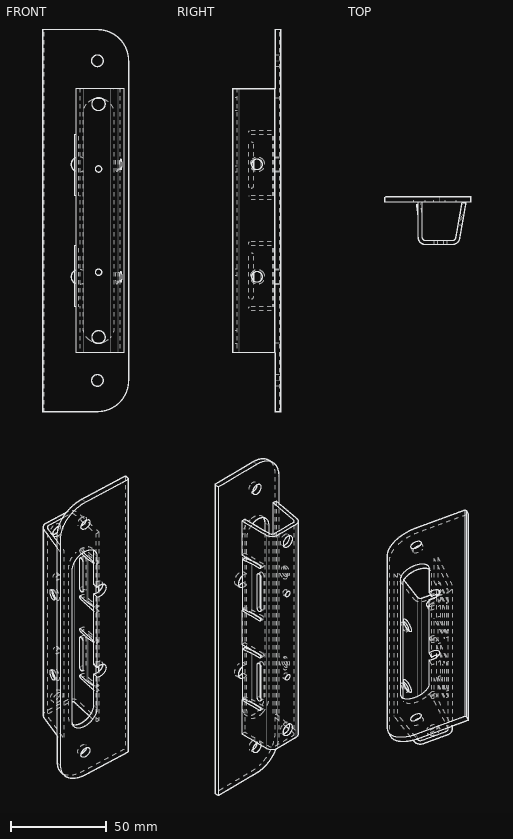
import cadquery as cq
import math

HOLE_LINE_X = 29.2

PLATE_WIDTH = 45.0
PLATE_HEIGHT = 200.0
PLATE_THICKNESS = 3.0
PLATE_CORNER_RADIUS = 16.5
BACK_CHAMFER = 0.5
SCREW_HOLE_DIAMETER = 6.0
WINDOW_WIDTH = 16.5
WINDOW_HEIGHT = 128.0
SIDE_HOLE_DIAMETER = 8.0
SIDE_HOLE_X = 19.0

CHANNEL_LENGTH = 138.0
CHANNEL_DEPTH = 22.2
SHEET = 2.2
OUTER_BEND_RADIUS = 4.0
CHANNEL_LEFT = 17.5
CHANNEL_RIGHT = 42.5
SLANT = math.radians(10)
SLANTED_INNER_X = CHANNEL_RIGHT - SHEET / math.cos(SLANT)

LARGE_HOLE_DIAMETER = 6.8
LARGE_HOLE_Z = 61.0
SMALL_HOLE_DIAMETER = 3.2
SMALL_HOLE_Z = 27.0

SIDE_HOLE_Z = 29.5
WALL_HOLE_DIAMETER = 5.5
WALL_HOLE_DEPTH = 9.2
COUNTERSINK_DIAMETER = 7.5

TONGUE_Z = 29.0
TONGUE_LENGTH = 6.5
TONGUE_GAP = 1.2
TONGUE_ANGLE = math.radians(8)
TONGUE_BEND_RADIUS = 3.0
RELIEF_WIDTH = 2.0
RELIEF_SPACING = 34.0
RELIEF_DEPTH = 14.0
WALL_SLOT_WIDTH = 2.8
WALL_SLOT_LENGTH = 24.2
WALL_SLOT_DEPTH = 12.5

TONGUE_ROOT_Y = -(TONGUE_LENGTH + TONGUE_GAP)
MIRRORED_SIDES = (-1, 1)


def cylinder(diameter, start, direction, length):
    """Round bar used as a hole cutter."""
    bar = cq.Solid.makeCylinder(diameter / 2, length, cq.Vector(*start), cq.Vector(*direction))
    return cq.Workplane(bar)


def plate_hole(diameter, x, z):
    return cylinder(diameter, (x, 0, z), (0, 1, 0), PLATE_THICKNESS)


def web_hole(diameter, z):
    return cylinder(diameter, (HOLE_LINE_X, -CHANNEL_DEPTH, z), (0, 1, 0), SHEET)


def plate_window():
    """Tall round-ended opening behind the channel."""
    return (
        cq.Workplane("XZ", origin=(HOLE_LINE_X, 0, 0))
        .slot2D(WINDOW_HEIGHT, WINDOW_WIDTH, 90)
        .extrude(-PLATE_THICKNESS)
    )


def make_plate():
    plate = (
        cq.Workplane("XY")
        .box(PLATE_WIDTH, PLATE_THICKNESS, PLATE_HEIGHT, centered=(False, False, True))
        .edges("|Y and >X")
        .fillet(PLATE_CORNER_RADIUS)
        .edges("|Z and <X and >Y")
        .chamfer(BACK_CHAMFER)
        .cut(plate_window())
    )
    screw_x = PLATE_WIDTH - PLATE_CORNER_RADIUS
    screw_z = PLATE_HEIGHT / 2 - PLATE_CORNER_RADIUS
    for side in MIRRORED_SIDES:
        plate = plate.cut(plate_hole(SCREW_HOLE_DIAMETER, screw_x, side * screw_z))
        plate = plate.cut(plate_hole(SIDE_HOLE_DIAMETER, SIDE_HOLE_X, side * SIDE_HOLE_Z))
    return plate


def channel_prism(inset):
    """Solid prism filling the channel's outer outline, moved inward by `inset`."""
    web_y = -CHANNEL_DEPTH + inset
    left = CHANNEL_LEFT + inset
    right_at_plate = CHANNEL_RIGHT - inset / math.cos(SLANT)
    right_at_web = right_at_plate + web_y * math.tan(SLANT)
    return (
        cq.Workplane("XY", origin=(0, 0, -CHANNEL_LENGTH / 2))
        .polyline([(left, 0), (left, web_y), (right_at_web, web_y), (right_at_plate, 0)])
        .close()
        .extrude(CHANNEL_LENGTH)
        .edges("|Z and <Y")
        .fillet(OUTER_BEND_RADIUS - inset)
    )


def wall_end_cutter():
    """Wedge that leaves the free end of the slanted wall square to the sheet."""
    width = 2 * SHEET
    return (
        cq.Workplane("XY", origin=(SLANTED_INNER_X, 0, -CHANNEL_LENGTH / 2))
        .polyline([(0, 0), (width, 0), (width, -width * math.tan(SLANT))])
        .close()
        .extrude(CHANNEL_LENGTH)
    )


def wall_hole(z):
    """Cutter square to the slanted wall, with a 90 degree countersink on the inner face."""
    inner_x = SLANTED_INNER_X - WALL_HOLE_DEPTH * math.tan(SLANT)
    start = (inner_x, -WALL_HOLE_DEPTH, z)
    outward = (math.cos(SLANT), -math.sin(SLANT), 0)
    sink_radius = COUNTERSINK_DIAMETER / 2
    cone = cq.Solid.makeCone(sink_radius, 0, sink_radius, cq.Vector(*start), cq.Vector(*outward))
    return cylinder(WALL_HOLE_DIAMETER, start, outward, 2 * SHEET).union(cq.Workplane(cone))


def wall_slot(y, z, length, width, angle):
    """Round-ended slot cutter through the straight wall."""
    return cq.Workplane("YZ", origin=(CHANNEL_LEFT, y, z)).slot2D(length, width, angle).extrude(SHEET)


def tongue_opening(z):
    """Cutter for the two relief slots and the strip of flat wall that the tongue replaces."""
    opening = (
        cq.Workplane("XY", origin=(CHANNEL_LEFT, 0, z))
        .box(SHEET, -TONGUE_ROOT_Y, RELIEF_SPACING, centered=(False, False, True))
        .translate((0, TONGUE_ROOT_Y, 0))
    )
    for side in MIRRORED_SIDES:
        relief_z = z + side * RELIEF_SPACING / 2
        opening = opening.union(wall_slot(0, relief_z, 2 * RELIEF_DEPTH, RELIEF_WIDTH, 0))
    return opening


def tongue(z):
    """Strip bent outward from the straight wall; its free end stops short of the plate."""
    height = RELIEF_SPACING - RELIEF_WIDTH
    near = TONGUE_BEND_RADIUS
    far = TONGUE_BEND_RADIUS + SHEET
    straight = TONGUE_LENGTH - near * TONGUE_ANGLE

    def on_bend(radius, angle):
        x = CHANNEL_LEFT - TONGUE_BEND_RADIUS + radius * math.cos(angle)
        return (x, TONGUE_ROOT_Y + radius * math.sin(angle))

    def tip(radius):
        x, y = on_bend(radius, TONGUE_ANGLE)
        return (x - straight * math.sin(TONGUE_ANGLE), y + straight * math.cos(TONGUE_ANGLE))

    return (
        cq.Workplane("XY", origin=(0, 0, z - height / 2))
        .moveTo(*on_bend(near, 0))
        .threePointArc(on_bend(near, TONGUE_ANGLE / 2), on_bend(near, TONGUE_ANGLE))
        .lineTo(*tip(near))
        .lineTo(*tip(far))
        .lineTo(*on_bend(far, TONGUE_ANGLE))
        .threePointArc(on_bend(far, TONGUE_ANGLE / 2), on_bend(far, 0))
        .close()
        .extrude(height)
    )


def make_channel():
    channel = channel_prism(0).cut(channel_prism(SHEET)).cut(wall_end_cutter())
    for side in MIRRORED_SIDES:
        tongue_z = side * TONGUE_Z
        channel = (
            channel.cut(web_hole(LARGE_HOLE_DIAMETER, side * LARGE_HOLE_Z))
            .cut(web_hole(SMALL_HOLE_DIAMETER, side * SMALL_HOLE_Z))
            .cut(wall_hole(side * SIDE_HOLE_Z))
            .cut(tongue_opening(tongue_z))
            .cut(wall_slot(-WALL_SLOT_DEPTH, tongue_z, WALL_SLOT_LENGTH, WALL_SLOT_WIDTH, 90))
            .union(tongue(tongue_z))
        )
    return channel


plate = make_plate()
channel = make_channel()
result = cq.Compound.makeCompound([plate.solids().val(), channel.solids().val()])